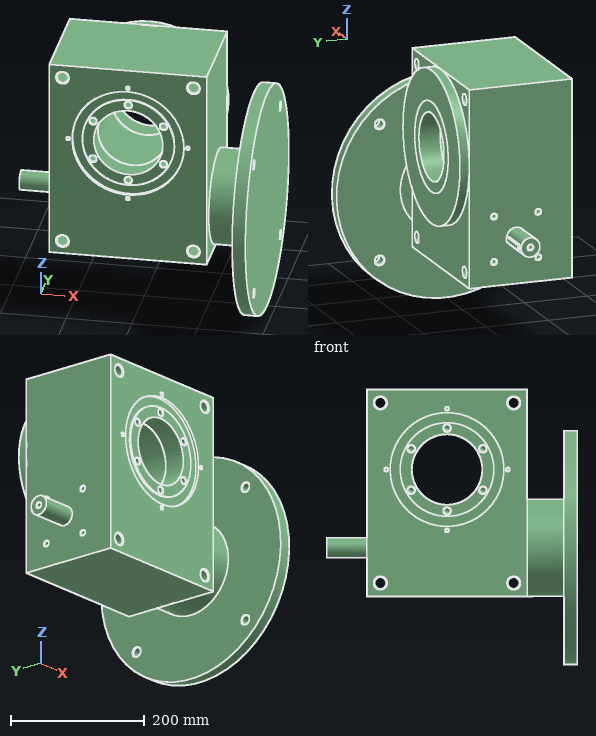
import cadquery as cq
import math


housing_width = 239.8
housing_height = 310.0
housing_depth = 165.0
top_to_bore = 120.0
axis_to_back = 75.0
axis_distance = 117.0

left_x = -housing_width / 2
right_x = housing_width / 2
back_y = axis_to_back
front_y = back_y - housing_depth
top_z = top_to_bore
bottom_z = top_z - housing_height
input_z = -axis_distance

pad_diameter = 239.0
pad_thickness = 15.0
pad_y = back_y + pad_thickness

neck_diameter = 146.0
neck_length = 55.0
flange_diameter = 350.0
flange_thickness = 20.0
flange_x = right_x + neck_length

sleeve_diameter = 140.0
bore_diameter = 105.0
relief_diameter = 106.0
bore_land = 34.0
groove_diameter = 170.0
groove_depth = 5.0
sleeve_recess = 2.5
sleeve_front_y = front_y + sleeve_recess

shaft_diameter = 30.0
shaft_length = 60.0
key_length = 50.0
key_width = 8.0
key_setback = 5.0
key_top = 18.0

drill_tip_angle = 118.0
corner_hole, corner_mouth = 17.5, 20.0
corner_margin = 20.0
flange_hole, flange_mouth = 14.0, 16.0
flange_bolt_circle = 300.0
flange_hole_count = 4
sleeve_hole, sleeve_mouth, sleeve_hole_depth = 10.5, 12.0, 20.5
sleeve_bolt_circle = 124.0
sleeve_hole_count = 6
cover_hole, cover_mouth, cover_hole_depth = 5.0, 6.0, 12.5
cover_bolt_circle = 182.0
cover_hole_count = 4
input_hole, input_mouth, input_hole_depth = 8.2, 10.0, 16.5
input_bolt_circle = 100.0
input_hole_count = 4


def along_x(diameter, x_start, length):
    """Cylinder on the input axis, growing toward +X."""
    start = cq.Vector(x_start, 0, input_z)
    return cq.Workplane(cq.Solid.makeCylinder(diameter / 2, length, start, cq.Vector(1, 0, 0)))


def along_y(diameter, y_start, length):
    """Cylinder on the output bore axis, growing toward +Y."""
    start = cq.Vector(0, y_start, 0)
    return cq.Workplane(cq.Solid.makeCylinder(diameter / 2, length, start, cq.Vector(0, 1, 0)))


def drill(diameter, mouth, depth, point, direction, blind=True):
    """Cutter for a chamfered hole; a blind one ends in a drill tip below its full depth."""
    radius = diameter / 2
    mouth_radius = mouth / 2
    tip = radius / math.tan(math.radians(drill_tip_angle / 2))
    profile = (
        cq.Workplane("XZ")
        .moveTo(0, 0)
        .lineTo(mouth_radius, 0)
        .lineTo(radius, mouth_radius - radius)
        .lineTo(radius, depth)
        .lineTo(0, depth + tip if blind else depth)
        .close()
    )
    cutter = profile.revolve(360, (0, 0, 0), (0, 1, 0)).val()
    if direction == "+X":
        cutter = cutter.rotate(cq.Vector(0, 0, 0), cq.Vector(0, 1, 0), 90)
    else:
        cutter = cutter.rotate(cq.Vector(0, 0, 0), cq.Vector(1, 0, 0), -90)
    return cutter.translate(cq.Vector(*point))


def on_circle(diameter, count, start_angle):
    """Evenly spaced points on a circle about the origin."""
    angles = [math.radians(start_angle + 360 * i / count) for i in range(count)]
    return [(diameter / 2 * math.cos(a), diameter / 2 * math.sin(a)) for a in angles]


def make_housing():
    block = cq.Workplane("XY").box(housing_width, housing_depth, housing_height, centered=False)
    body = block.translate((left_x, front_y, bottom_z))
    body = body.union(along_y(pad_diameter, back_y, pad_thickness))
    body = body.union(along_x(neck_diameter, right_x, neck_length))
    body = body.union(along_x(flange_diameter, flange_x, flange_thickness))

    body = body.cut(along_y(sleeve_diameter, front_y, pad_y - front_y))
    body = body.cut(along_y(groove_diameter, front_y, groove_depth))

    for x in (left_x + corner_margin, right_x - corner_margin):
        for z in (bottom_z + corner_margin, top_z - corner_margin):
            body = body.cut(
                drill(corner_hole, corner_mouth, housing_depth, (x, front_y, z), "+Y", blind=False)
            )

    for x, z in on_circle(cover_bolt_circle, cover_hole_count, 0):
        body = body.cut(drill(cover_hole, cover_mouth, cover_hole_depth, (x, front_y, z), "+Y"))

    for y, z in on_circle(input_bolt_circle, input_hole_count, 45):
        point = (left_x, y, input_z + z)
        body = body.cut(drill(input_hole, input_mouth, input_hole_depth, point, "+X"))

    for y, z in on_circle(flange_bolt_circle, flange_hole_count, 45):
        point = (flange_x, y, input_z + z)
        body = body.cut(drill(flange_hole, flange_mouth, flange_thickness, point, "+X", blind=False))
    return body


def make_hollow_shaft():
    length = pad_y - sleeve_front_y
    body = along_y(sleeve_diameter, sleeve_front_y, length)
    body = body.cut(along_y(bore_diameter, sleeve_front_y, length))
    body = body.cut(along_y(relief_diameter, sleeve_front_y + bore_land, length - 2 * bore_land))
    for x, z in on_circle(sleeve_bolt_circle, sleeve_hole_count, 90):
        body = body.cut(drill(sleeve_hole, sleeve_mouth, sleeve_hole_depth, (x, sleeve_front_y, z), "+Y"))
    return body


def make_input_shaft():
    end_x = left_x - shaft_length
    body = along_x(shaft_diameter, end_x, shaft_length)
    key = (
        cq.Workplane("XZ")
        .center(end_x + key_setback + key_length / 2, input_z)
        .slot2D(key_length, key_width)
        .extrude(-key_top)
    )
    body = body.union(key)
    return body.cut(drill(input_hole, input_mouth, input_hole_depth, (end_x, 0, input_z), "+X"))


housing = make_housing()
hollow_shaft = make_hollow_shaft()
input_shaft = make_input_shaft()

result = cq.Compound.makeCompound([housing.val(), hollow_shaft.val(), input_shaft.val()])